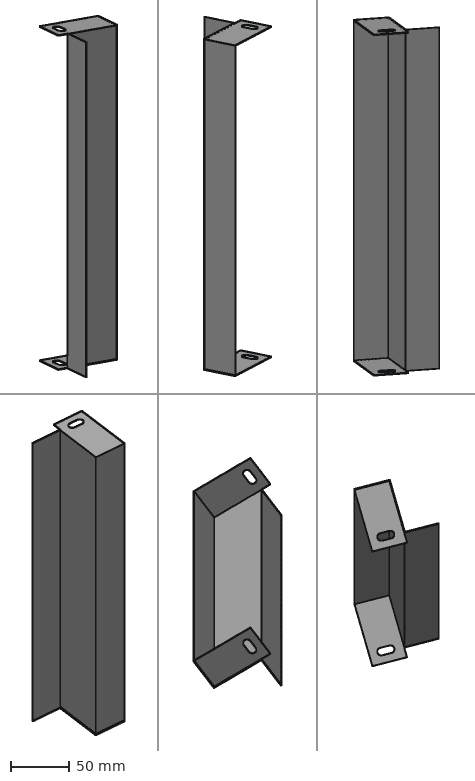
import cadquery as cq

sheet = 0.8
inner_width = 31.0
channel_depth = 50.0
flange_length = 30.0
height = 301.6
tab_overhang = 9.1
slot_length = 15.0
slot_width = 7.0
slot_x = 15.0
slot_y = 10.8

channel_width = inner_width + sheet
total_width = channel_width + flange_length
total_depth = tab_overhang + channel_depth


def folded_profile():
    """Back wall, side wall and outward flange, as one Z-shaped section."""
    back_inner_y = total_depth - sheet
    flange_back_y = tab_overhang + sheet
    outline = [
        (0, total_depth),
        (channel_width, total_depth),
        (channel_width, flange_back_y),
        (total_width, flange_back_y),
        (total_width, tab_overhang),
        (inner_width, tab_overhang),
        (inner_width, back_inner_y),
        (0, back_inner_y),
    ]
    return cq.Workplane("XY").polyline(outline).close().extrude(height)


def end_tab(bottom_z):
    """Slotted plate closing one end of the channel."""
    plate = (
        cq.Workplane("XY", origin=(0, 0, bottom_z))
        .rect(inner_width, total_depth, centered=False)
        .extrude(sheet)
    )
    slot = (
        cq.Workplane("XY", origin=(slot_x, slot_y, bottom_z))
        .slot2D(slot_length, slot_width)
        .extrude(sheet)
    )
    return plate.cut(slot)


result = folded_profile()
for tab_bottom in (0, height - sheet):
    result = result.union(end_tab(tab_bottom))